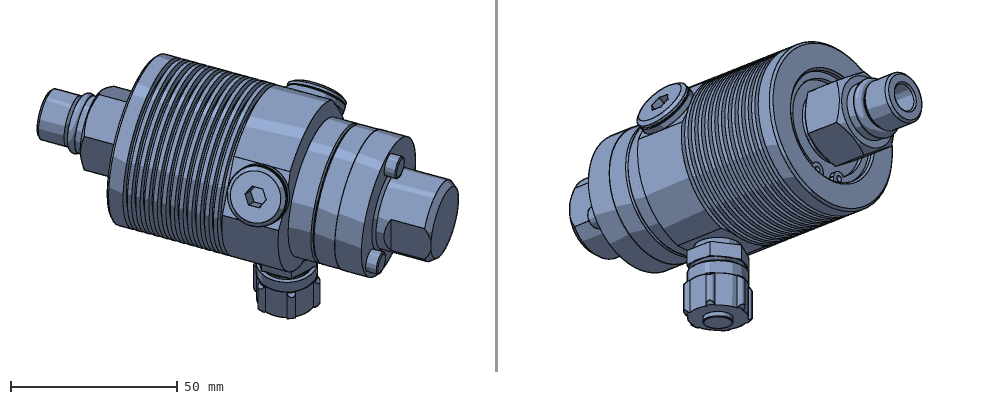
import cadquery as cq
import math


nose_radius = 8.0
nose_chamfer = 0.8
nose_end = 9.0
relief_radius = 6.8
relief_start = 10.2
oring_section = 1.5
oring_center = 11.7
oring_outer_radius = 9.4
shoulder_radius = 9.0
shoulder_start = 12.9
hex_start = 15.6
hex_end = 30.5
hex_flats = 23.9
hex_chamfer_length = 1.5
hex_face_radius = 11.3
shaft_collar_radius = 11.6
shaft_collar_end = 31.7
stem_radius = 9.0
stem_end = 58.0
bore_radius = 4.3
bore_chamfer = 0.5

housing_start = 30.2
housing_radius = 26.7
housing_chamfer = 0.8
fins_start = 35.6
fins_length = 32.0
fin_count = 11
fin_width = fins_length / (2 * fin_count + 1)
fin_root_radius = 24.0

block_start = fins_start + fins_length
block_shoulder = 85.7
block_end = 87.0
block_flat_distance = 25.0
plug_angles = (60, -60)
fitting_angle = 180
flat_angles = (*plug_angles, fitting_angle)
port_x = 77.9

rear_radius = 21.8
groove_center = 94.9
groove_half_width = 0.5
cap_start = 102.1
cap_end = 110.8
cap_radius = 21.9
neck_radius = 12.8
neck_base_radius = 13.5
neck_base_length = 1.0
neck_chamfer_start = 126.9
neck_end_radius = 11.2
neck_end = 129.0
neck_flat_distance = 11.1
neck_flat_start = 116.0

screw_count = 3
screw_circle_radius = 17.4
screw_head_radius = 3.5
screw_head_height = 3.9
screw_chamfer = 0.4

recess_radius = 17.7
recess_chamfer = 0.6
recess_depth = 3.4
ring_inner_radius = 15.5
ring_thickness = 1.5
ring_gap_width = 4.4
lug_radius = 2.3
lug_hole_radius = 1.9 / 2
lug_y = 4.6
lug_z = -15.3

washer_radius = 9.4
washer_top = 27.0
plug_groove_radius = 8.8
plug_groove_top = 27.3
plug_head_radius = 9.3
plug_head_top = 28.2
plug_face_radius = 8.0
plug_face = 29.1
socket_flats = 5.9
socket_depth = 5.2

fitting_neck_radius = 7.2
fitting_hex_top = 27.3
fitting_hex_bottom = 32.0
fitting_hex_flats = 16.9
fitting_cone_radius = 8.9
fitting_cone_bottom = 32.8
fitting_waist_radius = 8.0
collar_top = 33.7
collar_radius = 9.3
nut_top = 37.7
nut_bottom = 48.2
nut_radius = 9.2
rib_count = 6
rib_radius = 1.3
rib_outer_radius = 10.7
rib_chamfer = 1.0
tube_radius = 4.5
tube_chamfer = 0.3
tube_bottom = 49.9


def turned_x(points):
    """Solid of revolution about X from (x, radius) points."""
    return cq.Workplane("XY").polyline(points).close().revolve(360, (0, 0, 0), (1, 0, 0))


def turned_port(points):
    """Solid of revolution about the port axis, which is parallel to Z, from (radius, z) points."""
    profile = cq.Workplane("XZ", origin=(port_x, 0, 0)).polyline(points).close()
    return profile.revolve(360, (0, 0, 0), (0, 1, 0))


def across_corners(flats):
    return flats / math.cos(math.radians(30))


def x_cylinder(start, end, radius, y=0, z=0):
    return cq.Workplane("YZ", origin=(start, 0, 0)).center(y, z).circle(radius).extrude(end - start)


def about_x(shape, angle):
    """Shape turned about the main axis; an angle of 0 keeps the top at the top."""
    return shape.rotate((0, 0, 0), (1, 0, 0), angle)


def make_rotor_hex():
    corner_radius = across_corners(hex_flats) / 2
    prism = cq.Workplane("YZ", origin=(hex_start, 0, 0)).polygon(6, 2 * corner_radius)
    prism = about_x(prism.extrude(hex_end - hex_start), 90)
    chamfers = turned_x([
        (hex_start, 0),
        (hex_start, hex_face_radius),
        (hex_start + hex_chamfer_length, corner_radius),
        (hex_end - hex_chamfer_length, corner_radius),
        (hex_end, hex_face_radius),
        (hex_end, 0),
    ])
    return prism.intersect(chamfers)


def make_oring():
    center_radius = oring_outer_radius - oring_section
    section = cq.Workplane("XY").moveTo(oring_center, center_radius).circle(oring_section)
    return section.revolve(360, (0, 0, 0), (1, 0, 0))


def make_rotor():
    nose = turned_x([
        (0, 0),
        (0, nose_radius - nose_chamfer),
        (nose_chamfer, nose_radius),
        (nose_end, nose_radius),
        (relief_start, relief_radius),
        (shoulder_start, relief_radius),
        (shoulder_start, shoulder_radius),
        (hex_start, shoulder_radius),
        (hex_start, 0),
    ])
    shaft_collar = x_cylinder(hex_end, shaft_collar_end, shaft_collar_radius)
    stem = x_cylinder(shaft_collar_end, stem_end, stem_radius)
    bore = turned_x([
        (0, 0),
        (0, bore_radius + bore_chamfer),
        (bore_chamfer, bore_radius),
        (stem_end, bore_radius),
        (stem_end, 0),
    ])
    rotor = nose.union(make_oring()).union(make_rotor_hex()).union(shaft_collar).union(stem)
    return rotor.cut(bore)


def make_housing_shell():
    points = [
        (housing_start, 0),
        (housing_start, housing_radius - housing_chamfer),
        (housing_start + housing_chamfer, housing_radius),
        (fins_start, housing_radius),
        (fins_start, fin_root_radius),
    ]
    for i in range(fin_count):
        fin_start = fins_start + (2 * i + 1) * fin_width
        points += [
            (fin_start, fin_root_radius),
            (fin_start, housing_radius),
            (fin_start + fin_width, housing_radius),
            (fin_start + fin_width, fin_root_radius),
        ]
    points += [
        (block_start, fin_root_radius),
        (block_start, housing_radius),
        (block_shoulder, housing_radius),
        (block_end, rear_radius),
        (groove_center - groove_half_width, rear_radius),
        (groove_center, rear_radius - groove_half_width),
        (groove_center + groove_half_width, rear_radius),
        (cap_start, rear_radius),
        (cap_start, cap_radius),
        (cap_end, cap_radius),
        (cap_end, 0),
    ]
    return turned_x(points)


def make_block_flat(angle):
    """Material to remove outside one flat of the port block."""
    cutter = cq.Workplane("XY", origin=(block_start, 0, block_flat_distance)).rect(
        block_end - block_start, 2 * housing_radius, centered=(False, True)
    )
    return about_x(cutter.extrude(housing_radius), angle)


def make_neck():
    neck = turned_x([
        (cap_end, 0),
        (cap_end, neck_base_radius),
        (cap_end + neck_base_length, neck_radius),
        (neck_chamfer_start, neck_radius),
        (neck_end, neck_end_radius),
        (neck_end, 0),
    ])
    run_out = neck_base_radius - neck_flat_distance
    for side in (1, -1):
        flat = cq.Workplane("XY").polyline([
            (neck_flat_start, side * neck_flat_distance),
            (neck_flat_start - run_out, side * neck_base_radius),
            (neck_end, side * neck_base_radius),
            (neck_end, side * neck_flat_distance),
        ]).close().extrude(neck_radius, both=True)
        neck = neck.cut(flat)
    return neck


def make_screw_head(angle):
    head = x_cylinder(cap_end, cap_end + screw_head_height, screw_head_radius, z=screw_circle_radius)
    return about_x(head.faces(">X").chamfer(screw_chamfer), angle)


def make_retaining_ring():
    back = housing_start + recess_depth
    front = back - ring_thickness
    ring = x_cylinder(front, back, recess_radius).cut(x_cylinder(front, back, ring_inner_radius))
    gap = cq.Workplane("YZ", origin=(front, 0, -recess_radius)).rect(
        ring_gap_width, recess_radius, centered=(True, False)
    ).extrude(ring_thickness)
    ring = ring.cut(gap)
    for side in (1, -1):
        lug = x_cylinder(front, back, lug_radius, side * lug_y, lug_z)
        hole = x_cylinder(front, back, lug_hole_radius, side * lug_y, lug_z)
        ring = ring.union(lug).cut(hole)
    return ring


def make_recess():
    """Material to remove for the chamfered opening in the finned end."""
    return turned_x([
        (housing_start, 0),
        (housing_start, recess_radius + recess_chamfer),
        (housing_start + recess_chamfer, recess_radius),
        (housing_start + recess_depth, recess_radius),
        (housing_start + recess_depth, 0),
    ])


def make_plug(angle):
    plug = turned_port([
        (0, block_flat_distance),
        (washer_radius, block_flat_distance),
        (washer_radius, washer_top),
        (plug_groove_radius, washer_top),
        (plug_groove_radius, plug_groove_top),
        (plug_head_radius, plug_groove_top),
        (plug_head_radius, plug_head_top),
        (plug_face_radius, plug_face),
        (0, plug_face),
    ])
    return about_x(plug, angle)


def make_plug_socket(angle):
    socket = cq.Workplane("XY", origin=(port_x, 0, plug_face)).polygon(6, across_corners(socket_flats))
    return about_x(socket.extrude(-socket_depth), angle)


def make_ribs():
    ribs = cq.Workplane("XY", origin=(port_x, 0, -nut_bottom)).polarArray(
        rib_outer_radius - rib_radius, 0, 360, rib_count
    ).circle(rib_radius).extrude(nut_bottom - nut_top)
    chamfered_envelope = turned_port([
        (0, -nut_top),
        (rib_outer_radius - rib_chamfer, -nut_top),
        (rib_outer_radius, -nut_top - rib_chamfer),
        (rib_outer_radius, -nut_bottom + rib_chamfer),
        (rib_outer_radius - rib_chamfer, -nut_bottom),
        (0, -nut_bottom),
    ])
    return ribs.intersect(chamfered_envelope)


def make_fitting():
    turned = turned_port([
        (0, -block_flat_distance),
        (fitting_neck_radius, -block_flat_distance),
        (fitting_neck_radius, -fitting_hex_bottom),
        (fitting_cone_radius, -fitting_hex_bottom),
        (fitting_waist_radius, -fitting_cone_bottom),
        (fitting_waist_radius, -collar_top),
        (collar_radius, -collar_top),
        (collar_radius, -nut_top),
        (nut_radius, -nut_top),
        (nut_radius, -nut_bottom),
        (tube_radius, -nut_bottom),
        (tube_radius, -tube_bottom + tube_chamfer),
        (tube_radius - tube_chamfer, -tube_bottom),
        (0, -tube_bottom),
    ])
    hexagon = cq.Workplane("XY", origin=(port_x, 0, -fitting_hex_bottom)).polygon(
        6, across_corners(fitting_hex_flats)
    ).extrude(fitting_hex_bottom - fitting_hex_top)
    return turned.union(hexagon).union(make_ribs())


def make_housing():
    housing = make_housing_shell()
    for angle in flat_angles:
        housing = housing.cut(make_block_flat(angle))
    housing = housing.union(make_neck())
    for i in range(screw_count):
        housing = housing.union(make_screw_head(i * 360 / screw_count))
    for angle in plug_angles:
        housing = housing.union(make_plug(angle)).cut(make_plug_socket(angle))
    housing = housing.union(make_fitting())
    housing = housing.cut(make_recess()).union(make_retaining_ring())
    return housing.cut(x_cylinder(housing_start, stem_end, stem_radius))


rotor = make_rotor()
housing = make_housing()

result = cq.Compound.makeCompound([rotor.val(), housing.val()])